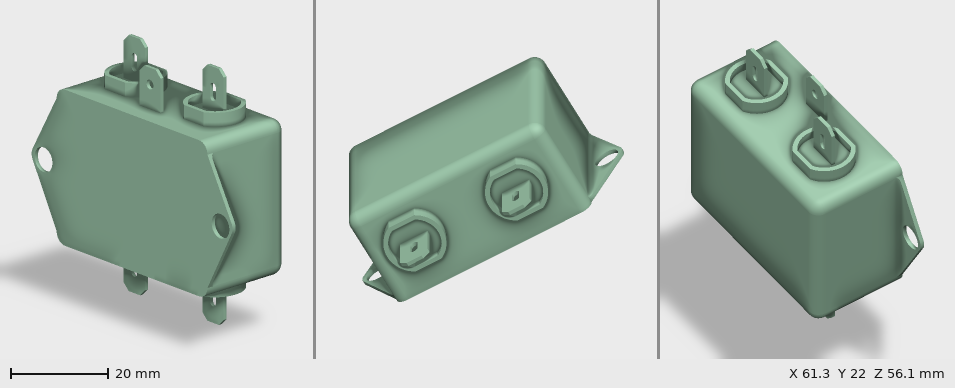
import cadquery as cq

BODY_WIDTH = 46.0
BODY_DEPTH = 22.0
BODY_HEIGHT = 34.2
BODY_RADIUS = 2.5

FLANGE_THICKNESS = 0.9
EAR_CORNER_X = 31.0
EAR_CORNER_Z = 0.4
EAR_ROUNDING = 2.5
EAR_HOLE_X = 27.0
EAR_HOLE_DIAMETER = 5.4
FLANGE_FILLET = 0.8

TERMINAL_X = 12.0
TERMINAL_Y = 12.0
COLLAR_HEIGHT = 3.1
COLLAR_DIAMETER = 13.0
COLLAR_FLAT_WIDTH = 11.5
COLLAR_BORE_DIAMETER = 11.0
COLLAR_BORE_FLAT_WIDTH = 9.6
COLLAR_BORE_DEPTH = 2.0

BLADE_WIDTH = 6.5
BLADE_THICKNESS = 0.8
BLADE_CHAMFER = 1.5
BLADE_TIP_Z = 28.05
BLADE_HOLE_Z = 22.5
SLOT_WIDTH = 1.7
SLOT_LENGTH = 4.0
EARTH_Y = 5.4
EARTH_TIP_Z = 26.2
EARTH_HOLE_DIAMETER = 2.1

BODY_TOP = BODY_HEIGHT / 2
BODY_SIDE = BODY_WIDTH / 2
EMBED = 1.0


def xz_plane(y):
    """Sketch plane at the given Y, with local axes along X and Z; positive extrusion runs toward -Y."""
    return cq.Workplane(cq.Plane(origin=(0, y, 0), xDir=(1, 0, 0), normal=(0, -1, 0)))


def make_body():
    body = cq.Workplane("XY").box(BODY_WIDTH, BODY_DEPTH, BODY_HEIGHT, centered=(True, False, True))
    return body.edges("|Y or >Y").fillet(BODY_RADIUS)


def ear_prism(depth):
    """Six-sided flange outline, rounded at the two ear corners."""
    shoulder_z = BODY_TOP - BODY_RADIUS
    outline = [
        (BODY_SIDE, shoulder_z),
        (EAR_CORNER_X, EAR_CORNER_Z),
        (BODY_SIDE, -shoulder_z),
        (-BODY_SIDE, -shoulder_z),
        (-EAR_CORNER_X, EAR_CORNER_Z),
        (-BODY_SIDE, shoulder_z),
    ]
    prism = xz_plane(0).polyline(outline).close().extrude(-depth)
    return prism.edges("|Y and (<X or >X)").fillet(EAR_ROUNDING)


def make_flange():
    """Ears, and the concave fillets joining them to the housing sides."""
    fillet_top = FLANGE_THICKNESS + FLANGE_FILLET
    fillet_edge = BODY_SIDE + FLANGE_FILLET
    fillet_strip = (
        cq.Workplane("XY")
        .moveTo(BODY_SIDE, FLANGE_THICKNESS)
        .lineTo(fillet_edge, FLANGE_THICKNESS)
        .radiusArc((BODY_SIDE, fillet_top), FLANGE_FILLET)
        .close()
        .extrude(BODY_TOP, both=True)
    )
    strips = fillet_strip.union(fillet_strip.mirror("YZ"))
    return ear_prism(FLANGE_THICKNESS).union(strips.intersect(ear_prism(fillet_top)))


def make_ear_holes():
    centres = [(-EAR_HOLE_X, 0), (EAR_HOLE_X, 0)]
    return xz_plane(0).pushPoints(centres).circle(EAR_HOLE_DIAMETER / 2).extrude(-FLANGE_THICKNESS)


def flatted_cylinder(x, diameter, flat_width, bottom, top):
    """Vertical cylinder with flats on its -Y and +Y sides."""
    plane = cq.Workplane("XY", origin=(x, TERMINAL_Y, bottom))
    cylinder = plane.circle(diameter / 2).extrude(top - bottom)
    return cylinder.intersect(plane.rect(diameter, flat_width).extrude(top - bottom))


def make_collar(x):
    rim = BODY_TOP + COLLAR_HEIGHT
    outer = flatted_cylinder(x, COLLAR_DIAMETER, COLLAR_FLAT_WIDTH, BODY_TOP - EMBED, rim)
    bore = flatted_cylinder(x, COLLAR_BORE_DIAMETER, COLLAR_BORE_FLAT_WIDTH, rim - COLLAR_BORE_DEPTH, rim)
    return outer.cut(bore)


def make_blade(x, y, tip_z):
    """Upward blade with its two tip corners chamfered."""
    base_z = BODY_TOP - EMBED
    base = cq.Workplane("XY", origin=(x, y, base_z))
    blade = base.rect(BLADE_WIDTH, BLADE_THICKNESS).extrude(tip_z - base_z)
    return blade.edges("|Y and >Z").chamfer(BLADE_CHAMFER)


def make_line_terminal(x):
    """Slotted blade standing inside its collar."""
    slot = (
        xz_plane(TERMINAL_Y)
        .center(x, BLADE_HOLE_Z)
        .slot2D(SLOT_LENGTH, SLOT_WIDTH, 90)
        .extrude(BLADE_THICKNESS, both=True)
    )
    return make_blade(x, TERMINAL_Y, BLADE_TIP_Z).cut(slot).union(make_collar(x))


def make_earth_terminal():
    hole = (
        xz_plane(EARTH_Y)
        .center(0, BLADE_HOLE_Z)
        .circle(EARTH_HOLE_DIAMETER / 2)
        .extrude(BLADE_THICKNESS, both=True)
    )
    return make_blade(0, EARTH_Y, EARTH_TIP_Z).cut(hole)


result = make_body().union(make_flange()).cut(make_ear_holes())
for terminal_x in (-TERMINAL_X, TERMINAL_X):
    terminal = make_line_terminal(terminal_x)
    result = result.union(terminal).union(terminal.mirror("XY"))
result = result.union(make_earth_terminal())